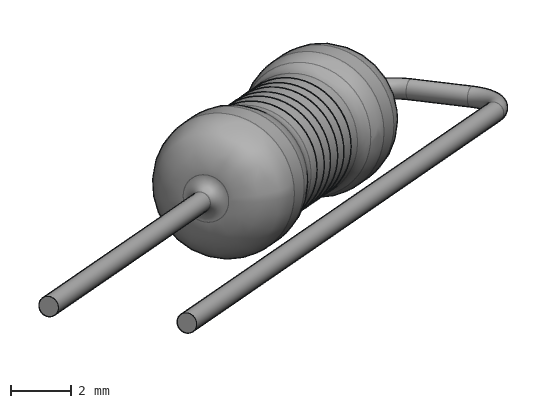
import cadquery as cq

wire_diameter = 0.7
wire_radius = wire_diameter / 2
lead_pitch = 5.0
bend_radius = 1.4
overall_length = 28.35
fold_y = overall_length - wire_radius
bend_start_y = fold_y - bend_radius

body_center_y = 19.62
cap_radius = 5.0 / 2
band_radius = 4.28 / 2
waist_radius = 4.25 / 2
dome_radius = 1.67
crown_half_length = 5.98
cap_inner_half_length = 3.45
waist_half_length = 2.0
crown_radius = cap_radius - dome_radius
lead_fillet_radius = crown_radius - wire_radius
dome_base_half_length = crown_half_length - dome_radius
lead_fillet_half_length = crown_half_length + lead_fillet_radius

band_count = 4
band_pitch = 1.15
band_width = 2 * waist_half_length - (band_count - 1) * band_pitch


def make_disc(radius, start_y, length):
    return cq.Workplane("XZ", origin=(0, start_y, 0)).circle(radius).extrude(-length)


def make_upper_end():
    """Neck, cap and dome above the waist, with the middle of the body at the origin."""
    neck_mid_radius = (cap_radius + band_radius) / 2
    neck_mid_y = (cap_inner_half_length + waist_half_length) / 2
    neck_arc_x = neck_mid_radius - band_radius
    neck_arc_y = neck_mid_y - waist_half_length
    neck_arc_radius = (neck_arc_x**2 + neck_arc_y**2) / (2 * neck_arc_x)
    profile = (
        cq.Workplane("XY")
        .moveTo(0, waist_half_length)
        .lineTo(band_radius, waist_half_length)
        .radiusArc((neck_mid_radius, neck_mid_y), neck_arc_radius)
        .radiusArc((cap_radius, cap_inner_half_length), -neck_arc_radius)
        .lineTo(cap_radius, dome_base_half_length)
        .radiusArc((crown_radius, crown_half_length), -dome_radius)
        .radiusArc((wire_radius, lead_fillet_half_length), lead_fillet_radius)
        .lineTo(0, lead_fillet_half_length)
        .close()
    )
    return profile.revolve(360, (0, 0, 0), (0, 1, 0))


def make_body():
    upper_end = make_upper_end()
    waist = make_disc(waist_radius, -waist_half_length, 2 * waist_half_length)
    body = waist.union(upper_end).union(upper_end.mirror("XZ"))
    for index in range(band_count):
        start_y = index * band_pitch - waist_half_length
        body = body.union(make_disc(band_radius, start_y, band_width))
    return body.translate((0, body_center_y, 0))


def make_lead():
    path = (
        cq.Workplane("XY")
        .lineTo(0, bend_start_y)
        .radiusArc((bend_radius, fold_y), bend_radius)
        .lineTo(lead_pitch - bend_radius, fold_y)
        .radiusArc((lead_pitch, bend_start_y), bend_radius)
        .lineTo(lead_pitch, 0)
    )
    return cq.Workplane("XZ").circle(wire_radius).sweep(path)


result = make_body().union(make_lead())